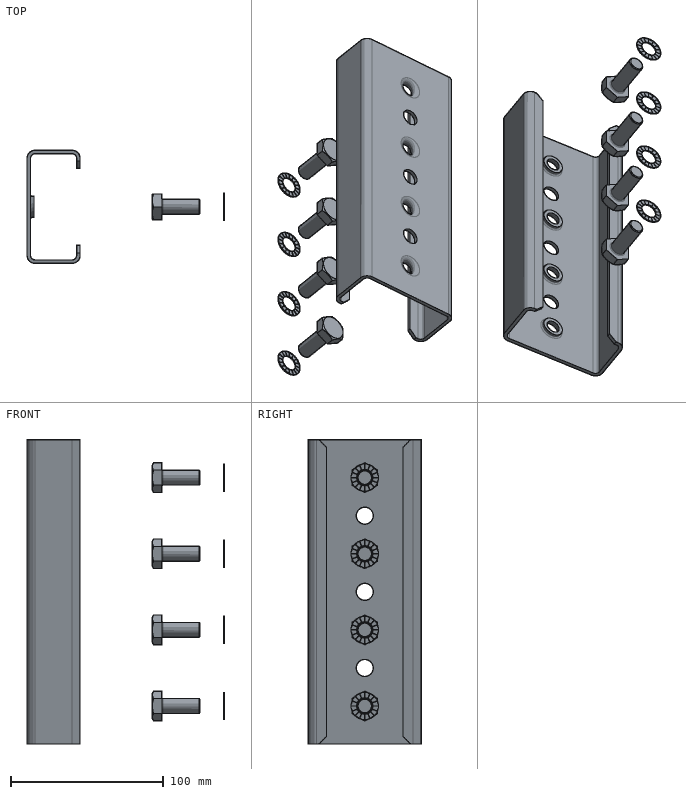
import cadquery as cq
import math

channel_length = 200
channel_width = 74.5
channel_depth = 35.0
sheet = 2.5
lip_length = 12
lip_corner_cut = 5.0
bend_radius = 5.5

hole_pitch = 50
plain_hole_diameter = 11.0
collar_bore = 9.0
collar_diameter = 14
collar_height = 2.5
collar_mouth_radius = 3.2
collar_root_radius = 1.0

head_start = 82.2
head_height = 6.5
across_flats = 17.0
head_face_diameter = 16.2
head_cone_angle = 30
shank_diameter = 10
shank_length = 25.0
neck_radius = 0.5
tip_chamfer = 0.5

assembly_length = 129.8
washer_thickness = 0.8
washer_diameter = 18
washer_bore = 10.5
groove_count = 16
groove_width = 0.2
groove_depth = 0.2

collar_heights = [hole_pitch * step for step in (-1.5, -0.5, 0.5, 1.5)]
plain_hole_heights = [hole_pitch * step for step in (-1, 0, 1)]


def disc(diameter, start, length, height=0):
    """Cylinder along X, from x = start, with its axis at z = height."""
    return cq.Workplane("YZ", origin=(start, 0, height)).circle(diameter / 2).extrude(length)


def arc_middle(centre, radius):
    """Middle point of a quarter arc on the outer-face side, towards the axis."""
    reach = radius * math.sqrt(0.5)
    return centre[0] - reach, centre[1] - reach


def make_collar(height):
    """Ring drawn out of the web around one extruded hole, with a rounded root."""
    wall = collar_diameter / 2
    root_centre = (sheet + collar_root_radius, wall + collar_root_radius)
    return (
        cq.Workplane("XY", origin=(0, 0, height))
        .lineTo(0, root_centre[1])
        .lineTo(sheet, root_centre[1])
        .threePointArc(arc_middle(root_centre, collar_root_radius), (root_centre[0], wall))
        .lineTo(sheet + collar_height, wall)
        .lineTo(sheet + collar_height, 0)
        .close()
        .revolve(360, (0, 0, 0), (1, 0, 0))
    )


def make_collar_bore(height):
    """Bore of a collar, widening in a rounded mouth at the outer face of the web."""
    bore_radius = collar_bore / 2
    mouth_centre = (collar_mouth_radius, bore_radius + collar_mouth_radius)
    return (
        cq.Workplane("XY", origin=(0, 0, height))
        .lineTo(0, mouth_centre[1])
        .threePointArc(
            arc_middle(mouth_centre, collar_mouth_radius),
            (collar_mouth_radius, bore_radius),
        )
        .lineTo(sheet + collar_height, bore_radius)
        .lineTo(sheet + collar_height, 0)
        .close()
        .revolve(360, (0, 0, 0), (1, 0, 0))
    )


def make_lip_opening():
    """Space between the two lips, widening at 45 degrees towards both ends."""
    half_gap = channel_width / 2 - lip_length
    half_end_gap = half_gap + lip_corner_cut
    end = channel_length / 2
    cut_start = end - lip_corner_cut
    return (
        cq.Workplane("YZ", origin=(channel_depth - sheet, 0, 0))
        .polyline([
            (half_end_gap, end),
            (half_gap, cut_start),
            (half_gap, -cut_start),
            (half_end_gap, -end),
            (-half_end_gap, -end),
            (-half_gap, -cut_start),
            (-half_gap, cut_start),
            (-half_end_gap, end),
        ])
        .close()
        .extrude(sheet)
    )


def make_channel():
    inner_depth = channel_depth - 2 * sheet
    inner_width = channel_width - 2 * sheet
    outside = (
        cq.Workplane("XY")
        .box(channel_depth, channel_width, channel_length, centered=(False, True, True))
        .edges("|Z").fillet(bend_radius)
    )
    inside = (
        cq.Workplane("XY", origin=(sheet, 0, 0))
        .box(inner_depth, inner_width, channel_length, centered=(False, True, True))
        .edges("|Z").fillet(bend_radius - sheet)
    )
    channel = outside.cut(inside).cut(make_lip_opening())
    for height in collar_heights:
        channel = channel.union(make_collar(height)).cut(make_collar_bore(height))
    for height in plain_hole_heights:
        channel = channel.cut(disc(plain_hole_diameter, 0, sheet, height))
    return channel


def make_bolt(height):
    """Bolt along X, with two flats of its head facing -Y and +Y."""
    across_corners = across_flats / math.cos(math.pi / 6)
    hexagon = (
        cq.Workplane("YZ", origin=(head_start, 0, height))
        .polygon(6, across_corners)
        .extrude(head_height)
        .rotate((0, 0, height), (1, 0, height), 90)
    )
    corner_height = (across_corners - head_face_diameter) / 2 * math.tan(math.radians(head_cone_angle))
    corner_cone = (
        cq.Workplane("XY", origin=(head_start, 0, height))
        .lineTo(0, head_face_diameter / 2)
        .lineTo(corner_height, across_corners / 2)
        .lineTo(head_height, across_corners / 2)
        .lineTo(head_height, 0)
        .close()
        .revolve(360, (0, 0, 0), (1, 0, 0))
    )
    shank = (
        disc(shank_diameter, head_start + head_height, shank_length, height)
        .faces(">X").edges()
        .chamfer(tip_chamfer)
    )
    bolt = hexagon.intersect(corner_cone).union(shank)
    neck_point = (head_start + head_height, 0, height)
    return bolt.edges("%CIRCLE").edges(cq.NearestToPointSelector(neck_point)).fillet(neck_radius)


def make_washer(height):
    start = assembly_length - washer_thickness
    washer = disc(washer_diameter, start, washer_thickness, height).cut(
        disc(washer_bore, start, washer_thickness, height)
    )
    groove = cq.Workplane("XY", origin=(start, 0, height)).box(
        groove_depth, washer_diameter, groove_width, centered=(False, False, True)
    )
    for step in range(groove_count):
        angle = 360 / groove_count * step
        washer = washer.cut(groove.rotate((0, 0, height), (1, 0, height), angle))
    return washer


channel = make_channel()
bolts = [make_bolt(height) for height in collar_heights]
washers = [make_washer(height) for height in collar_heights]

result = cq.Compound.makeCompound(
    [channel.val()] + [bolt.val() for bolt in bolts] + [washer.val() for washer in washers]
)